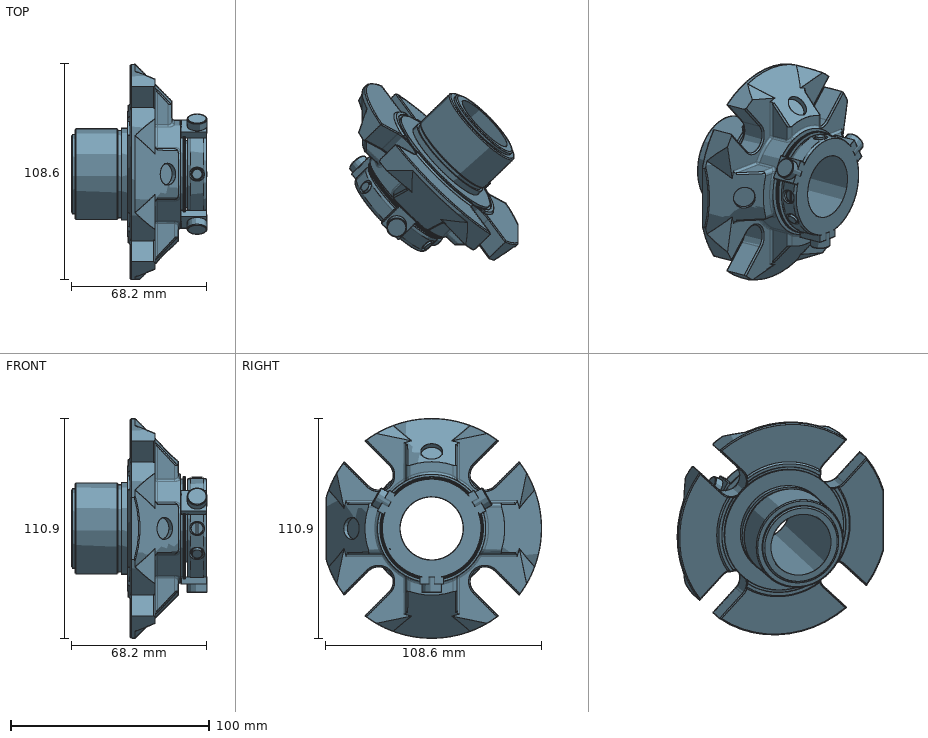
import cadquery as cq
import math



LENGTH = 68.2

FLANGE_R = 55.435
FLANGE_T = 12.6
FLAT_Y = -53.2
RIM_LAND = 2.5
FACE_CHAMFER = 0.6
SLOT_CHAMFER = 0.8
FLAT_CHAMFER = 0.4
BOLT_SLOT_W = 14.8
BOLT_SLOT_END_R = 37.9
SLOT_ANGLES = (45, 135, 225, 315)

NOTCH_TILT = 30
NOTCH_SIDE_ANGLE = 10.15
NOTCH_APEX_X = 0.8
NOTCH_APEX_R = 48.9
NOTCH_REACH = 60

ARM_W = 25.7
ARM_REACH = 52
ARM_END = 24.3
SHORT_ARM_END = 21.1
ARM_ENDS = {0: SHORT_ARM_END, 90: ARM_END, 180: ARM_END, 270: ARM_END}
ARM_END_FILLET = 2.0
ARM_EDGE_CHAMFER = 0.6
ROOT_FILLET = 1.2
HUB_FILLET = 1.4
HUB_R = 27.3
HUB_END = 25.4

PORT_D = 11
PORT_DEPTH = 2.6
PORT_STATIONS = {180: 17.5, 90: 19.1}

PILOT_R = 63 / 2
PILOT_H = 1.4
GASKET_INNER_R = 32.8
GASKET_R = 34.5
GASKET_BASE_R = 35.3
GASKET_H = 1.0
GASKET_GAP_DEPTH = 0.4

BORE_R = 31.75 / 2
TIP_X = -29.4
TIP_R = 40.18 / 2
TIP_CHAMFER = 0.9
BARREL_X = -27.75
BARREL_R = 45.97 / 2
BARREL_CHAMFER = 0.6
NECK_X = -6.1
NECK_R = 44.17 / 2
COLLAR_X = -4.4
COLLAR_R = 46.43 / 2

END_X = TIP_X + LENGTH
SLEEVE_R = 33.98 / 2
COVER_SEAT_R = 25.0
COVER_X = 26.6
COVER_END = 27.9
COVER_GROOVE = 0.3
COVER_R = 52.27 / 2
RING_X = 28.9
RING_END = 38.6
RING_R = 50.75 / 2
RING_CHAMFER_L = 1.5
RING_CHAMFER_H = 0.5

CLIP_X = 25.7
CLIP_W = 12
CLIP_INNER_R = 24.4
CLIP_R = 28.1
CAP_D = 10
CAP_R = 32.4
CAP_CHAMFER = 0.4
SCREW_X = END_X - CAP_D / 2
CLIP_ANGLES = (30, 150, 270)

SET_SCREW_ANGLES = (90, 210, 330)
SLOTTED_SCREW_ANGLE = 180
SET_HOLE_D = 6
SET_SINK_D = 7.6
SET_HOLE_DEPTH = 2.0
SET_TIP_D = 5
SET_TIP_R = 25.9
DRIVER_SLOT_W = 0.9
DRIVER_SLOT_DEPTH = 0.8

TOLERANCE = 0.01
CONE_TOTAL = FLANGE_R + RIM_LAND


def turned(points):
    """Solid of revolution about X from (x, radius) points."""
    return cq.Workplane("XY").polyline(points).close().revolve(360, (0, 0), (1, 0))


def about_axis(solid, angle):
    return solid.rotate((0, 0, 0), (1, 0, 0), angle)


def radial_cylinder(x, angle, diameter, r_start, r_end):
    """Round pin whose axis points away from the X axis at the given azimuth."""
    pin = cq.Workplane("XZ", origin=(x, r_start, 0)).circle(diameter / 2).extrude(r_start - r_end)
    return about_axis(pin, angle)


def make_flange():
    flange = cq.Workplane("YZ").circle(FLANGE_R).extrude(FLANGE_T)
    size = 2 * FLANGE_R
    flat_side = cq.Workplane("XY").box(size, size, size).translate((0, FLAT_Y - size / 2, 0))
    flange = flange.cut(flat_side)
    for angle in SLOT_ANGLES:
        flange = flange.cut(bolt_slot(angle, 0, FLANGE_T))
    flange = flange.faces("<X").chamfer(FACE_CHAMFER)
    return flange.faces(">X").edges().filter(is_slot_edge).chamfer(SLOT_CHAMFER)


def bolt_slot(angle, x_start, x_end):
    """Open slot with a rounded inner end."""
    reach = FLANGE_R
    slot = (
        cq.Workplane("YZ", origin=(x_start, 0, 0))
        .center(BOLT_SLOT_END_R + reach / 2, 0)
        .slot2D(reach + BOLT_SLOT_W, BOLT_SLOT_W)
        .extrude(x_end - x_start)
    )
    return about_axis(slot, angle)


def outside_cone(angle):
    """Space outside the 45 degree cone that is opened in front of one arm, rim notch included."""
    outer = FLANGE_R + 1
    beyond_cone = turned([
        (CONE_TOTAL - outer, outer),
        (HUB_END, CONE_TOTAL - HUB_END),
        (HUB_END, outer),
    ])
    tilt = math.radians(NOTCH_TILT)
    plane = cq.Plane(
        origin=(NOTCH_APEX_X, NOTCH_APEX_R, 0),
        xDir=(0, 0, -1),
        normal=(math.cos(tilt), -math.sin(tilt), 0),
    )
    rise = NOTCH_REACH * math.tan(math.radians(NOTCH_SIDE_ANGLE))
    notch = (
        cq.Workplane(plane)
        .polyline([
            (0, 0),
            (NOTCH_REACH, rise),
            (NOTCH_REACH, NOTCH_REACH),
            (-NOTCH_REACH, NOTCH_REACH),
            (-NOTCH_REACH, rise),
        ])
        .close()
        .extrude(NOTCH_REACH, both=True)
    )
    above_flange = cq.Workplane("XY").box(
        HUB_END - FLANGE_T, 2 * FLANGE_R, ARM_W + 4 * ROOT_FILLET, centered=(False, False, True)
    )
    opening = notch.union(above_flange.translate((FLANGE_T, 0, 0)))
    return about_axis(beyond_cone.intersect(opening), angle)


def make_arm(angle, arm_end):
    """Straight arm along one azimuth, long enough to be trimmed by the cone."""
    length = arm_end - FLANGE_T
    arm = cq.Workplane("XY").box(length, ARM_REACH, ARM_W, centered=(False, False, True))
    arm = arm.translate((FLANGE_T, 0, 0))
    arm = arm.faces(">X").edges("|Y").fillet(ARM_END_FILLET)
    return about_axis(arm, angle)


def is_slot_edge(edge):
    """True for the round ends and the diagonal sides of the bolt slots."""
    if edge.geomType() == "CIRCLE":
        return abs(edge.radius() - BOLT_SLOT_W / 2) < TOLERANCE
    box = edge.BoundingBox()
    return edge.geomType() == "LINE" and abs(box.ylen - box.zlen) < TOLERANCE


def is_beside_arm(edge):
    """True for an edge lying in the plane of an arm wall."""
    center = edge.Center()
    wall = ARM_W / 2
    return min(abs(abs(center.y) - wall), abs(abs(center.z) - wall)) < TOLERANCE


def is_hub_root(edge):
    """True where an arm wall runs into the hub, parallel to the axis."""
    box = edge.BoundingBox()
    along_axis = box.ylen < TOLERANCE and box.zlen < TOLERANCE
    center = edge.Center()
    on_hub = abs(math.hypot(center.y, center.z) - HUB_R) < TOLERANCE
    return along_axis and on_hub and is_beside_arm(edge)


def is_flange_root(edge):
    """True where the hub, the arms or the fillets between them stand on the flange face."""
    box = edge.BoundingBox()
    if max(abs(box.xmin - FLANGE_T), abs(box.xmax - FLANGE_T)) > TOLERANCE:
        return False
    if edge.geomType() == "CIRCLE":
        return min(abs(edge.radius() - HUB_R), abs(edge.radius() - HUB_FILLET)) < TOLERANCE
    return edge.geomType() == "LINE" and is_beside_arm(edge)


def is_flat_edge(edge):
    """True for the curve where the flat on the rim meets the cone."""
    return edge.geomType() == "HYPERBOLA" and edge.BoundingBox().ymax < FLAT_Y + TOLERANCE


def arm_edge_cut(angle):
    """Pair of wedges that chamfer the two sloping edges of one arm."""
    half_width = ARM_W / 2

    def edge_height(x):
        return math.sqrt((CONE_TOTAL - x) ** 2 - half_width ** 2)

    x_start = FLANGE_T + ROOT_FILLET
    run = HUB_END - x_start
    drop = edge_height(x_start) - edge_height(HUB_END)
    plane = cq.Plane(
        origin=(x_start, edge_height(x_start), half_width),
        xDir=(0, 0, 1),
        normal=(run, -drop, 0),
    )
    leg = ARM_EDGE_CHAMFER
    wedge = (
        cq.Workplane(plane)
        .polyline([(-2 * leg, -leg), (leg, 2 * leg), (leg, -leg)])
        .close()
        .extrude(math.hypot(run, drop))
    )
    return about_axis(wedge.union(wedge.mirror("XY")), angle)


def make_gland_body():
    """Flange with the hub and four arms, trimmed to the cone."""
    body = cq.Workplane("YZ", origin=(FLANGE_T, 0, 0)).circle(HUB_R).extrude(HUB_END - FLANGE_T)
    for angle, arm_end in ARM_ENDS.items():
        body = body.union(make_arm(angle, arm_end))
    body = body.edges("|X").filter(is_hub_root).fillet(HUB_FILLET)
    body = body.union(make_flange())
    body = body.edges().filter(is_flange_root).fillet(ROOT_FILLET)
    for angle in ARM_ENDS:
        body = body.cut(outside_cone(angle))
    body = body.edges().filter(is_flat_edge).chamfer(FLAT_CHAMFER)
    for angle in ARM_ENDS:
        body = body.cut(arm_edge_cut(angle))
    return body


def make_port(angle, x):
    """Shallow blind hole square to the cone."""
    plane = cq.Plane(origin=(x, CONE_TOTAL - x, 0), xDir=(0, 0, 1), normal=(1, 1, 0))
    port = cq.Workplane(plane).circle(PORT_D / 2).extrude(PORT_DEPTH, both=True)
    return about_axis(port, angle)


def make_gasket():
    gasket = turned([
        (0, 0),
        (-GASKET_GAP_DEPTH, 0),
        (-GASKET_GAP_DEPTH, GASKET_INNER_R),
        (-GASKET_H, GASKET_INNER_R),
        (-GASKET_H, GASKET_R),
        (0, GASKET_BASE_R),
    ])
    for angle in SLOT_ANGLES:
        gasket = gasket.cut(bolt_slot(angle, -GASKET_H, 0))
    return gasket


def make_rear_barrel():
    return turned([
        (TIP_X, 0),
        (TIP_X, TIP_R - TIP_CHAMFER),
        (TIP_X + TIP_CHAMFER / 2, TIP_R),
        (BARREL_X, TIP_R),
        (BARREL_X, BARREL_R - BARREL_CHAMFER),
        (BARREL_X + BARREL_CHAMFER, BARREL_R),
        (NECK_X - BARREL_CHAMFER, BARREL_R),
        (NECK_X, BARREL_R - BARREL_CHAMFER),
        (NECK_X, NECK_R),
        (COLLAR_X, NECK_R),
        (COLLAR_X, COLLAR_R),
        (-PILOT_H, COLLAR_R),
        (-PILOT_H, PILOT_R),
        (0, PILOT_R),
        (0, 0),
    ])


def make_front_stack():
    """Cover disc, sleeve and lock ring as one turned profile."""
    cover_middle = (COVER_X + COVER_END) / 2
    return turned([
        (FLANGE_T, 0),
        (FLANGE_T, COVER_SEAT_R),
        (COVER_X, COVER_SEAT_R),
        (COVER_X, COVER_R - COVER_GROOVE),
        (COVER_X + COVER_GROOVE, COVER_R),
        (cover_middle - COVER_GROOVE, COVER_R),
        (cover_middle, COVER_R - COVER_GROOVE),
        (cover_middle + COVER_GROOVE, COVER_R),
        (COVER_END - COVER_GROOVE, COVER_R),
        (COVER_END, COVER_R - COVER_GROOVE),
        (COVER_END, SLEEVE_R),
        (RING_X, SLEEVE_R),
        (RING_X, RING_R - RING_CHAMFER_H),
        (RING_X + RING_CHAMFER_L, RING_R),
        (RING_END - RING_CHAMFER_L, RING_R),
        (RING_END, RING_R - RING_CHAMFER_H),
        (RING_END, 0),
    ])


def make_clip(angle):
    plate = cq.Workplane("XY").box(
        RING_END - CLIP_X, CLIP_R - CLIP_INNER_R, CLIP_W, centered=(False, False, True)
    )
    plate = about_axis(plate.translate((CLIP_X, CLIP_INNER_R, 0)), angle)
    cap = radial_cylinder(SCREW_X, 0, CAP_D, CLIP_INNER_R, CAP_R).faces(">Y").chamfer(CAP_CHAMFER)
    return plate.union(about_axis(cap, angle))


def set_screw_hole(angle):
    """Flat-bottomed hole with a 90 degree countersink."""
    hole_r = SET_HOLE_D / 2
    sink_r = SET_SINK_D / 2
    sink_depth = sink_r - hole_r
    hole = (
        cq.Workplane("XY", origin=(SCREW_X, RING_R, 0))
        .polyline([
            (0, -SET_HOLE_DEPTH),
            (hole_r, -SET_HOLE_DEPTH),
            (hole_r, -sink_depth),
            (sink_r, 0),
            (sink_r, sink_depth),
            (0, sink_depth),
        ])
        .close()
        .revolve(360, (0, 0), (0, 1))
    )
    return about_axis(hole, angle)


def add_set_screws(body):
    """Holes in the lock ring, three with a protruding screw and one with a driver slot."""
    for angle in (*SET_SCREW_ANGLES, SLOTTED_SCREW_ANGLE):
        body = body.cut(set_screw_hole(angle))
    floor_r = RING_R - SET_HOLE_DEPTH
    for angle in SET_SCREW_ANGLES:
        body = body.union(radial_cylinder(SCREW_X, angle, SET_TIP_D, floor_r, SET_TIP_R))
    slot = cq.Workplane("XY").box(DRIVER_SLOT_W, 2 * DRIVER_SLOT_DEPTH, SET_HOLE_D)
    slot = slot.translate((SCREW_X, floor_r, 0))
    return body.cut(about_axis(slot, SLOTTED_SCREW_ANGLE))


def make_part():
    body = make_gland_body()
    for angle, x in PORT_STATIONS.items():
        body = body.cut(make_port(angle, x))
    body = body.union(make_gasket()).union(make_rear_barrel()).union(make_front_stack())
    for angle in CLIP_ANGLES:
        body = body.union(make_clip(angle))
    body = add_set_screws(body)
    bore = cq.Workplane("YZ", origin=(TIP_X, 0, 0)).circle(BORE_R).extrude(LENGTH)
    return body.cut(bore)


result = make_part()